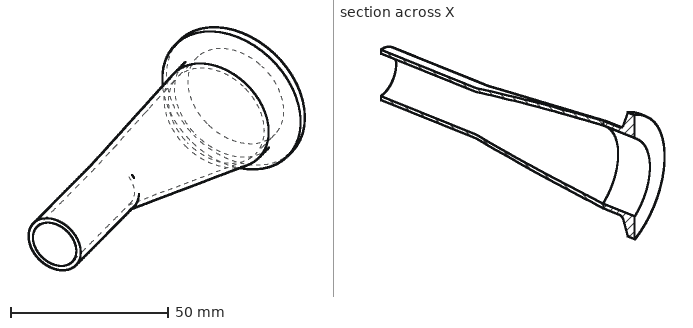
import cadquery as cq
import math

total_length = 101.6
wall = 1.6

flange_radius = 50.4 / 2
flange_rim = 2.8
bevel_angle = math.radians(20)
neck_fillet = 1.6
ferrule_length = 12.7

large_radius = 38.1 / 2
small_radius = large_radius / 2
tube_length = 38.1
cone_length = total_length - ferrule_length - tube_length
eccentricity = large_radius - small_radius


def make_ferrule():
    """Revolve the flange, its bevel, the neck fillet and the neck around Y."""
    bore_radius = large_radius - wall

    fillet_start_radius = large_radius + neck_fillet * (1 - math.sin(bevel_angle))
    fillet_start_y = -flange_rim - (flange_radius - fillet_start_radius) * math.tan(bevel_angle)
    fillet_center_radius = large_radius + neck_fillet
    fillet_end_y = fillet_start_y - neck_fillet * math.cos(bevel_angle)
    middle_angle = (math.pi / 2 - bevel_angle) / 2
    fillet_middle = (
        fillet_center_radius - neck_fillet * math.cos(middle_angle),
        fillet_end_y + neck_fillet * math.sin(middle_angle),
    )

    return (
        cq.Workplane("XY")
        .moveTo(bore_radius, 0)
        .lineTo(flange_radius, 0)
        .lineTo(flange_radius, -flange_rim)
        .lineTo(fillet_start_radius, fillet_start_y)
        .threePointArc(fillet_middle, (large_radius, fillet_end_y))
        .lineTo(large_radius, -ferrule_length)
        .lineTo(bore_radius, -ferrule_length)
        .close()
        .revolve(360, (0, 0, 0), (0, 1, 0))
    )


def make_reducer_core(inset):
    """Solid cone and tube with every radius reduced by the inset."""
    cone = (
        cq.Workplane("XZ")
        .workplane(offset=ferrule_length)
        .circle(large_radius - inset)
        .workplane(offset=cone_length)
        .center(-eccentricity, 0)
        .circle(small_radius - inset)
        .loft(ruled=True)
    )
    tube = (
        cq.Workplane("XZ")
        .workplane(offset=ferrule_length + cone_length)
        .center(-eccentricity, 0)
        .circle(small_radius - inset)
        .extrude(tube_length)
    )
    return cone.union(tube)


def make_reducer():
    """Hollow reducer with a constant radial wall."""
    return make_reducer_core(0).cut(make_reducer_core(wall))


ferrule = make_ferrule()
reducer = make_reducer()

result = cq.Compound.makeCompound([ferrule.val(), *reducer.solids().vals()])